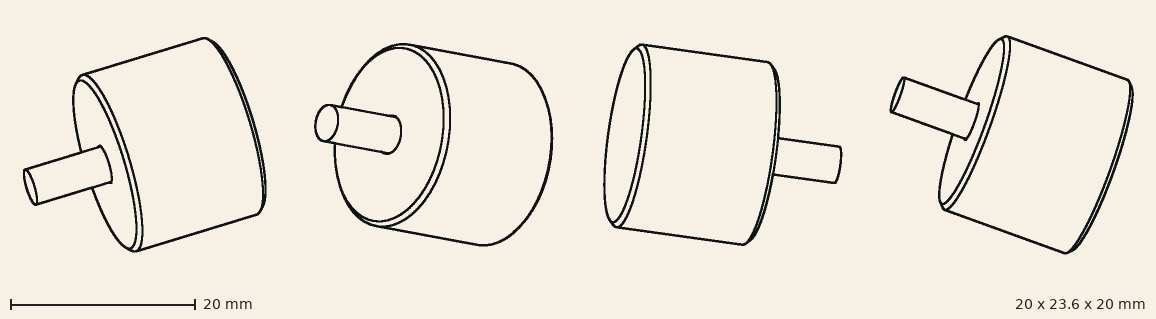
import cadquery as cq

wheel_diameter = 20.0
wheel_length = 15.0
rim_chamfer = 0.5

pin_diameter = 4.0
bore_diameter = 4.2
pin_protrusion = 8.63
bore_depth = wheel_length / 2


def cylinder_along_y(diameter, y_start, y_end):
    """Cylinder centred on the Y axis, from y_start to y_end."""
    start_plane = cq.Plane(origin=(0, y_start, 0), xDir=(1, 0, 0), normal=(0, 1, 0))
    return cq.Workplane(start_plane).circle(diameter / 2).extrude(y_end - y_start)


def make_wheel():
    """Drum with both rims chamfered and a blind bore in the front face."""
    drum = cylinder_along_y(wheel_diameter, 0, wheel_length).edges("%CIRCLE").chamfer(rim_chamfer)
    bore = cylinder_along_y(bore_diameter, 0, bore_depth)
    return drum.cut(bore)


def make_pin():
    """Pin seated on the bottom of the bore."""
    return cylinder_along_y(pin_diameter, -pin_protrusion, bore_depth)


wheel = make_wheel()
pin = make_pin()

result = cq.Compound.makeCompound([wheel.val(), pin.val()])